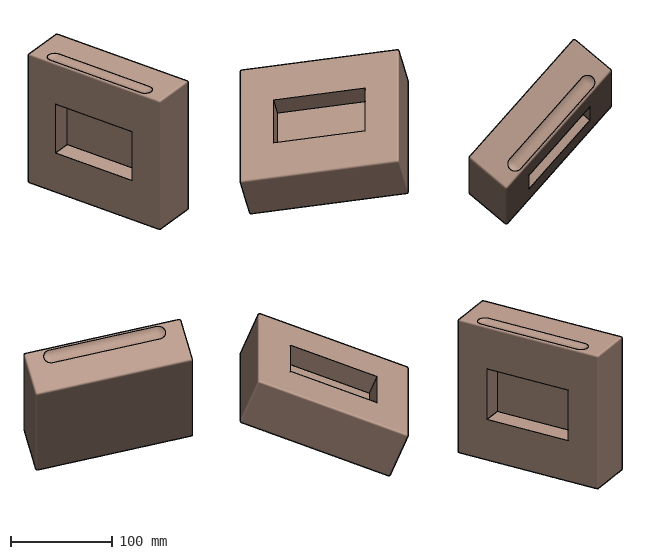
import cadquery as cq

length = 160.0
depth = 50.0
height = 148.0
edge_radius = 2.0

pocket_length = 92.0
pocket_height = 56.0
pocket_depth = 20.0

groove_width = 14.7
groove_depth = 2.0
groove_straight = 109.0
groove_from_front = 10.5

groove_radius = (groove_width**2 / 4 + groove_depth**2) / (2 * groove_depth)


def block():
    return cq.Workplane("XY").box(length, depth, height).edges().fillet(edge_radius)


def pocket():
    pocket_center_y = (pocket_depth - depth) / 2
    return (
        cq.Workplane("XY")
        .box(pocket_length, pocket_depth, pocket_height)
        .translate((0, pocket_center_y, 0))
    )


def groove():
    bar = cq.Workplane("YZ").circle(groove_radius).extrude(groove_straight / 2, both=True)
    for side in (-1, 1):
        ball = cq.Workplane("XY").sphere(groove_radius)
        bar = bar.union(ball.translate((side * groove_straight / 2, 0, 0)))
    bar_y = groove_from_front - depth / 2
    bar_z = height / 2 - groove_depth + groove_radius
    return bar.translate((0, bar_y, bar_z))


result = block().cut(pocket()).cut(groove())